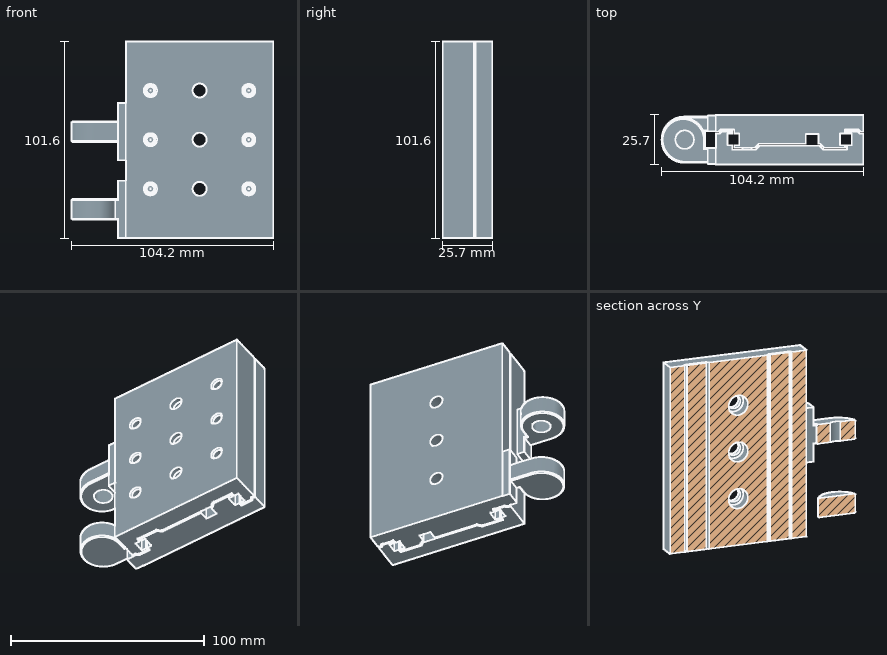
import cadquery as cq
import math


width = 76.2
depth = 25.7
height = 101.6
mid_x = width / 2
mid_y = depth / 2

gap = 0.9
miter = gap * math.tan(math.pi / 8)
lip_y = 16.0
lip_width = 1.9
lip_rise = 1.1
wall_x = 8.5
floor_y = 7.7
ramp_x = 20.6
ramp_rise = 2.0

channel = 5.9
channel_y = 12.9
slot_x = 49.7
slot_width = 6.4
slot_top_y = 15.6

pin_x = 16.1
pin_radius = 2.4
pin_length = 3 * gap

hole_pitch = height / 4
through_radius = 3.5
head_radius = 5.2
head_seat_y = 2.9
mouth_radius = 3.4
bore_radius = 2.6
tip_radius = 1.9
mouth_depth = mouth_radius - bore_radius
bore_depth = 5.7
tip_depth = bore_depth + bore_radius - tip_radius
dimple_radius = 0.2
dimple_depth = 0.5

pad_thickness = 4.2
pad_depth = 8.3
pad_height = 29.6
pad_inset = 0.2
pad_chamfer = 0.3
eye_reach = 28.0
eye_radius = 12.0
back_radius = 11.3
eye_height = 10.7
eye_chamfer = 0.6
eye_hole_radius = 4.8
eye_x = eye_radius - eye_reach
upper_pad_z = 40.1


def mirrored(half):
    """Complete a half contour with its mirror image about the middle of the width."""
    return half + [(width - x, y) for x, y in reversed(half)]


def gap_cutter():
    """Stepped clearance that separates the front plate from the rear plate."""
    front_side = mirrored([
        (0, lip_y),
        (lip_width, lip_y),
        (lip_width + lip_rise, lip_y + lip_rise),
        (wall_x, lip_y + lip_rise),
        (wall_x, floor_y),
        (ramp_x, floor_y),
        (ramp_x + ramp_rise, floor_y + ramp_rise),
    ])
    rear_side = mirrored([
        (0, lip_y + gap),
        (lip_width - miter, lip_y + gap),
        (lip_width + lip_rise - miter, lip_y + lip_rise + gap),
        (wall_x + gap, lip_y + lip_rise + gap),
        (wall_x + gap, floor_y + gap),
        (ramp_x - miter, floor_y + gap),
        (ramp_x + ramp_rise - miter, floor_y + ramp_rise + gap),
    ])
    outline = front_side + rear_side[::-1]
    return cq.Workplane("XY").polyline(outline).close().extrude(height)


def channel_cutters():
    """Two square ball channels centred on the interlock walls, and the relief slot."""
    wall_centre = wall_x + gap / 2
    channels = (
        cq.Workplane("XY")
        .pushPoints([(wall_centre, channel_y), (width - wall_centre, channel_y)])
        .rect(channel, channel)
        .extrude(height)
    )
    slot_bottom_y = floor_y + ramp_rise + gap / 2
    slot_depth = slot_top_y - slot_bottom_y
    slot = (
        cq.Workplane("XY")
        .center(slot_x, slot_bottom_y + slot_depth / 2)
        .rect(slot_width, slot_depth)
        .extrude(height)
    )
    return channels.union(slot)


def joining_pin():
    """Short round pin that spans the gap from plate to plate."""
    return (
        cq.Workplane("XZ", origin=(pin_x, floor_y - gap, height / 2))
        .circle(pin_radius)
        .extrude(-pin_length)
    )


def through_hole():
    """Hole along +Y through both plates, recessed for a screw head from inside the front plate."""
    head_end_y = floor_y + ramp_rise + gap / 2
    clearance = cq.Workplane("XZ").circle(through_radius).extrude(-depth)
    head_recess = (
        cq.Workplane("XZ", origin=(0, head_seat_y, 0))
        .circle(head_radius)
        .extrude(head_seat_y - head_end_y)
    )
    return clearance.union(head_recess)


def countersunk_hole():
    """Blind hole along +Y with a countersunk mouth, a tapered end and a centre dimple."""
    profile = [
        (0, 0),
        (mouth_radius, 0),
        (bore_radius, mouth_depth),
        (bore_radius, bore_depth),
        (tip_radius, tip_depth),
        (dimple_radius, tip_depth),
        (dimple_radius, tip_depth + dimple_depth),
        (0, tip_depth + dimple_depth),
    ]
    return cq.Workplane("XY").polyline(profile).close().revolve(360, (0, 0, 0), (0, 1, 0))


def slide_plates():
    """Both plates with their gap, channels, pin and mounting holes."""
    plates = cq.Workplane("XY").box(width, depth, height, centered=False)
    plates = plates.cut(gap_cutter()).union(joining_pin())
    plates = plates.cut(channel_cutters())
    for row in (-1, 0, 1):
        hole_z = height / 2 + row * hole_pitch
        plates = plates.cut(through_hole().translate((mid_x, 0, hole_z)))
        for side in (-1, 1):
            hole_x = mid_x + side * hole_pitch
            plates = plates.cut(countersunk_hole().translate((hole_x, 0, hole_z)))
    return plates


def front_bracket():
    """Pad and solid eye of the front plate, standing on Z = 0."""
    pad = cq.Workplane("XY", origin=(-pad_thickness, pad_inset, 0)).box(
        pad_thickness, pad_depth, pad_height, centered=False
    )
    pad = pad.edges("|Z and <X").chamfer(pad_chamfer)
    pad_end_y = pad_inset + pad_depth
    back_x = back_radius - eye_reach
    arm_end_x = -pad_thickness / 2
    diagonal = math.sqrt(0.5)
    eye = (
        cq.Workplane("XY", origin=(0, 0, (pad_height - eye_height) / 2))
        .moveTo(arm_end_x, mid_y - eye_radius)
        .lineTo(eye_x, mid_y - eye_radius)
        .threePointArc(
            (eye_x - diagonal * eye_radius, mid_y - diagonal * eye_radius),
            (-eye_reach, mid_y),
        )
        .threePointArc((back_x, mid_y + back_radius), (back_x + back_radius, mid_y))
        .lineTo(back_x + back_radius, pad_end_y)
        .lineTo(arm_end_x, pad_end_y)
        .close()
        .extrude(eye_height)
        .faces("<Z or >Z")
        .chamfer(eye_chamfer)
    )
    return pad.union(eye)


def upper_bracket():
    """Bracket on the front plate, with a hole through its eye."""
    eye_hole = cq.Workplane("XY").center(eye_x, mid_y).circle(eye_hole_radius).extrude(pad_height)
    return front_bracket().cut(eye_hole).translate((0, 0, upper_pad_z))


def lower_bracket():
    """Mirror image of the bracket, on the rear plate, with a solid eye."""
    return front_bracket().mirror("XZ", (0, mid_y, 0))


result = slide_plates().union(upper_bracket()).union(lower_bracket())